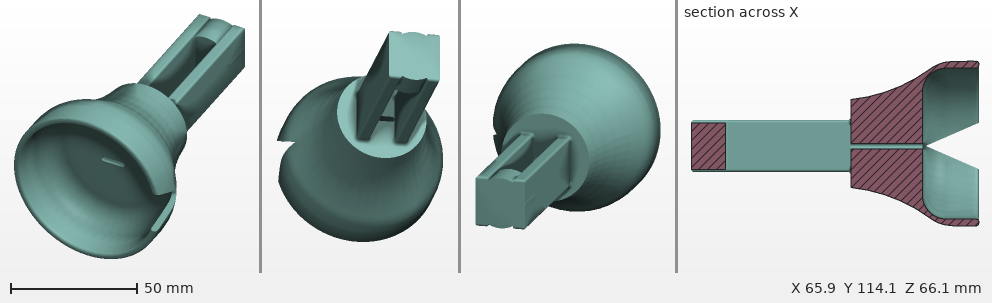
import cadquery as cq
import math

rim_radius = 33.07
rim_band_length = 10.0
shoulder_radius = 16.0
shoulder_end_y = 19.4
neck_radius = 18.15
bell_length = 50.8
rim_wall = 2.8
rim_rounding = 1.25

bowl_radius = rim_radius - rim_wall
bowl_depth = 22.4
bowl_floor_rounding = 9.4

notch_depth = 21.0
notch_half_width = 9.18

total_length = 114.05
handle_z = -1.06
handle_size = 20.5
arm_gap = 10.3
arm_rounding = 1.0
foot_rounding = 1.25
gap_corner_radius = 1.0
bridge_length = 13.6
bridge_radius = 10.34

slot_height = 2.1


def bell_blank():
    """Solid bell: straight band, convex shoulder, concave flared neck."""
    shoulder_centre_x = rim_radius - shoulder_radius
    shoulder_angle = math.asin((shoulder_end_y - rim_band_length) / shoulder_radius)
    half_angle = shoulder_angle / 2
    shoulder_mid = (
        shoulder_centre_x + shoulder_radius * math.cos(half_angle),
        rim_band_length + shoulder_radius * math.sin(half_angle),
    )
    shoulder_end = (
        shoulder_centre_x + shoulder_radius * math.cos(shoulder_angle),
        shoulder_end_y,
    )
    profile = (
        cq.Workplane("XY")
        .lineTo(rim_radius, 0)
        .lineTo(rim_radius, rim_band_length)
        .threePointArc(shoulder_mid, shoulder_end)
        .tangentArcPoint((neck_radius, bell_length), relative=False)
        .lineTo(0, bell_length)
        .close()
    )
    return profile.revolve(360, (0, 0, 0), (0, 1, 0))


def bowl():
    """Hollow of the bell: straight wall rounded into a flat floor."""
    return (
        cq.Workplane("XZ")
        .circle(bowl_radius)
        .extrude(-bowl_depth)
        .faces(">Y")
        .edges()
        .fillet(bowl_floor_rounding)
    )


def handle_bar():
    """Square bar from the neck of the bell to the handle tip."""
    handle_length = total_length - bell_length
    return cq.Workplane("XY").box(
        handle_size, handle_length, handle_size, centered=(True, False, True)
    ).translate((0, bell_length, handle_z))


def arm_gap_cutter():
    """Gap that splits the bar into two arms, open through the handle tip."""
    gap_length = total_length - bell_length
    return cq.Workplane("XY").box(
        arm_gap, gap_length, handle_size, centered=(True, False, True)
    ).translate((0, bell_length, handle_z))


def bridge():
    """Round plug that joins the arms at the tip."""
    plug = (
        cq.Workplane("XZ", origin=(0, total_length, handle_z))
        .circle(bridge_radius)
        .extrude(bridge_length)
    )
    corner_y = total_length - bridge_length
    for side in (-1, 1):
        corner_x = side * arm_gap / 2
        inner_x = corner_x - side * gap_corner_radius
        web = (
            cq.Workplane("XY", origin=(0, 0, handle_z))
            .moveTo(corner_x, corner_y)
            .lineTo(inner_x, corner_y)
            .radiusArc((corner_x, corner_y - gap_corner_radius), side * gap_corner_radius)
            .close()
            .extrude(bridge_radius, both=True)
        )
        round_limit = (
            cq.Workplane("XZ", origin=(0, total_length, handle_z))
            .circle(bridge_radius)
            .extrude(bridge_length + gap_corner_radius)
        )
        plug = plug.union(web.intersect(round_limit))
    return plug


def notch_cutter():
    """Triangular prism along X, widest at the rim."""
    return (
        cq.Workplane("YZ", origin=(0, 0, handle_z))
        .moveTo(0, -notch_half_width)
        .lineTo(notch_depth, 0)
        .lineTo(0, notch_half_width)
        .close()
        .extrude(rim_radius)
    )


def slot_cutter():
    """Round-ended slot through the bell along its length."""
    return (
        cq.Workplane("XZ", origin=(0, bell_length, handle_z))
        .slot2D(arm_gap, slot_height)
        .extrude(bell_length)
    )


def round_arm_edges(body):
    """Round the edges of the arms' upper and lower faces."""
    arm_y = (total_length + bell_length) / 2
    for face_z in (handle_z - handle_size / 2, handle_z + handle_size / 2):
        for side in (-1, 1):
            arm_x = side * (handle_size + arm_gap) / 4
            nearest = cq.selectors.NearestToPointSelector((arm_x, arm_y, face_z))
            body = body.faces(nearest).edges().fillet(arm_rounding)
    return body


def corner_flare():
    """Ring flaring from an arm's rounded edge out to the end face of the bell."""
    return (
        cq.Workplane("XY")
        .lineTo(arm_rounding + foot_rounding, 0)
        .radiusArc((arm_rounding, foot_rounding), foot_rounding)
        .lineTo(0, foot_rounding)
        .close()
        .revolve(360, (0, 0, 0), (0, 1, 0))
    )


def face_fillet():
    """Concave fillet strip between the flares of one arm, for its upper face."""
    strip_length = (handle_size - arm_gap) / 2 - 2 * arm_rounding
    return (
        cq.Workplane("YZ")
        .lineTo(foot_rounding, 0)
        .radiusArc((0, foot_rounding), foot_rounding)
        .close()
        .extrude(strip_length / 2, both=True)
    )


def arm_feet():
    """Feet of both arms where their rounded edges meet the bell."""
    feet = cq.Workplane("XY")
    corner_z = handle_size / 2 - arm_rounding
    for side in (-1, 1):
        inner_x = side * (arm_gap / 2 + arm_rounding)
        outer_x = side * (handle_size / 2 - arm_rounding)
        strip = face_fillet().translate(((inner_x + outer_x) / 2, 0, handle_size / 2))
        feet = feet.add(strip).add(strip.mirror("XY"))
        for x in (inner_x, outer_x):
            for z in (-corner_z, corner_z):
                feet = feet.add(corner_flare().translate((x, 0, z)))
    return feet.combine().translate((0, bell_length, handle_z))


bell = bell_blank().cut(bowl()).faces("<Y").edges().fillet(rim_rounding)
arms = round_arm_edges(handle_bar().cut(arm_gap_cutter()))
body = bell.union(arms).union(arm_feet()).union(bridge())

result = body.cut(notch_cutter()).cut(slot_cutter())